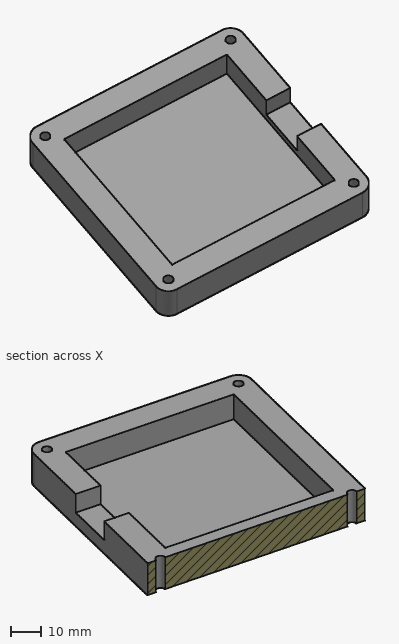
import cadquery as cq

pocket_length = 63.9
pocket_width = 64.4
wall = 9.5
length = pocket_length + 2 * wall
width = pocket_width + 2 * wall
height = 13.0
corner_radius = 5.0

floor_thickness = 3.0

notch_width = 18.2
notch_center_x = 0.5
notch_depth = 7.5

hole_diameter = 3.4
hole_spacing_x = length - 2 * corner_radius
hole_spacing_y = width - 2 * corner_radius


def make_block():
    """Solid block with rounded vertical edges, standing on Z = 0."""
    block = cq.Workplane("XY").box(length, width, height, centered=(True, True, False))
    return block.edges("|Z").fillet(corner_radius)


def cut_pocket(body):
    """Open-top rectangular pocket with sharp corners."""
    pocket_depth = height - floor_thickness
    pocket = (
        cq.Workplane("XY")
        .box(pocket_length, pocket_width, pocket_depth, centered=(True, True, False))
        .translate((0, 0, floor_thickness))
    )
    return body.cut(pocket)


def cut_notch(body):
    """Open-top notch joining the pocket to the outside of the +Y wall."""
    notch = (
        cq.Workplane("XY")
        .box(notch_width, wall, notch_depth, centered=(True, False, False))
        .translate((notch_center_x, pocket_width / 2, height - notch_depth))
    )
    return body.cut(notch)


def cut_corner_holes(body):
    """Plain through holes at the four corners."""
    holes = (
        cq.Workplane("XY")
        .rect(hole_spacing_x, hole_spacing_y, forConstruction=True)
        .vertices()
        .circle(hole_diameter / 2)
        .extrude(height)
    )
    return body.cut(holes)


part = make_block()
part = cut_pocket(part)
part = cut_notch(part)
part = cut_corner_holes(part)
result = part